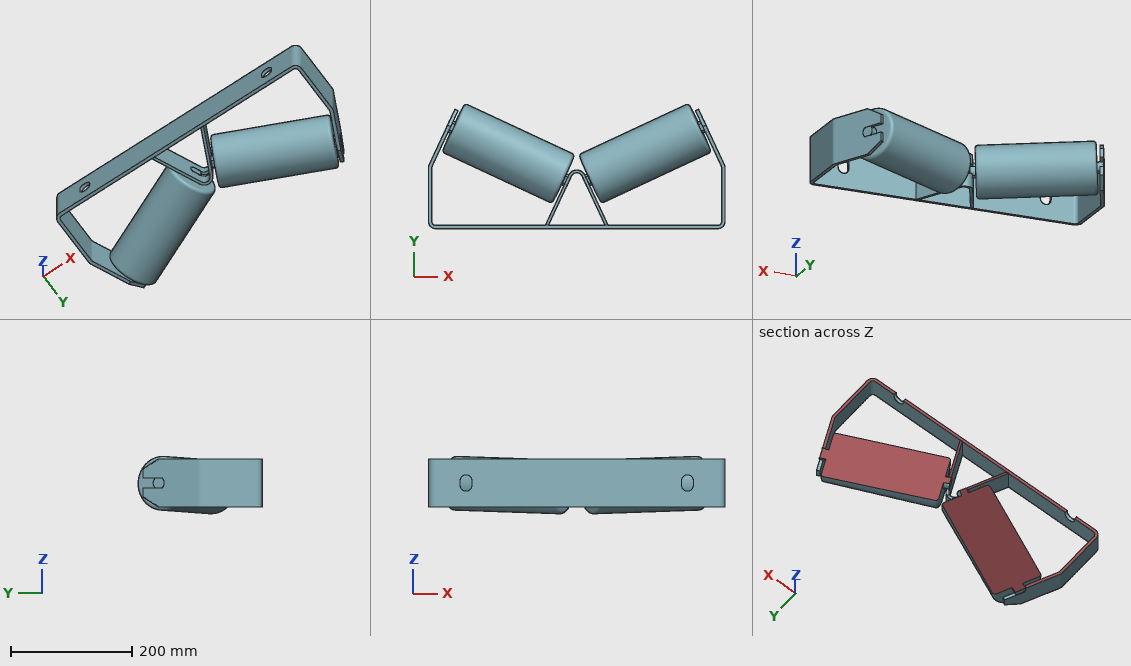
import cadquery as cq
import math


BRACKET_WIDTH = 490.0
STRIP_HEIGHT = 80.0
SHEET = 6.0
CORNER_RADIUS = 12.2
ARM_BEND_Y = 103.5
ARM_BEND_RADIUS = 13.5
ARM_LENGTH = 104.0
TIP_CHAMFER_LENGTH = 29.0
TIP_CHAMFER_HEIGHT = 16.5

MOUNT_SPACING = 365.5
MOUNT_WIDTH = 19.5
MOUNT_HEIGHT = 27.0

V_HALF_BASE = 52.0
V_SHEET = 5.0
V_APEX_RADIUS = 14.5
V_HEIGHT = 59.0

LEAN = 25.0
TILT = 1.8
DRUM_DIAMETER = 89.0
DRUM_LENGTH = 200.5
DRUM_FILLET = 5.5
DRUM_GAP = 5.0
SHAFT_DIAMETER = 20.0
SHAFT_FLATS = 16.0
SHAFT_ON_ARM = 75.0

half_width = BRACKET_WIDTH / 2
lean = math.radians(LEAN)
tilt = math.radians(TILT)
along_arm = cq.Vector(math.sin(lean), math.cos(lean), 0)
inward = cq.Vector(math.cos(lean), -math.sin(lean), 0)
arm_bend = cq.Vector(-half_width, ARM_BEND_Y, 0)
v_foot = cq.Vector(-V_HALF_BASE, SHEET, 0)

shaft_start = arm_bend + along_arm * SHAFT_ON_ARM + cq.Vector(0, 0, STRIP_HEIGHT / 2)
axis_direction = inward * math.cos(tilt) - cq.Vector(0, 0, math.sin(tilt))
v_inner_face = (v_foot - arm_bend).dot(inward) + V_SHEET
shaft_length = v_inner_face / math.cos(tilt)
roller_plane = cq.Plane(origin=shaft_start, xDir=along_arm, normal=axis_direction)


def mirrored(body):
    return body.mirror("YZ")


def xy_points(vectors):
    return [(v.x, v.y) for v in vectors]


def round_bend(body, x, y, outside_radius, sheet, inner_x, inner_y):
    """Round the outer edge at (x, y) and the inner edge at (inner_x, inner_y) about one centre."""
    middle = body.val().BoundingBox().center.z
    body = body.edges(cq.NearestToPointSelector((x, y, middle))).fillet(outside_radius)
    inner_edge = cq.NearestToPointSelector((inner_x, inner_y, middle))
    return body.edges(inner_edge).fillet(outside_radius - sheet)


def shaft_slot(start, end):
    """Slot as wide as the shaft flats, with a shaft-shaped bottom, open towards the arm tip."""
    length = end - start
    base = cq.Workplane(roller_plane).workplane(offset=start)
    bottom = base.circle(SHAFT_DIAMETER / 2).extrude(length)
    open_run = base.center(ARM_LENGTH / 2, 0).rect(ARM_LENGTH, SHAFT_DIAMETER).extrude(length)
    band = base.rect(2 * ARM_LENGTH, SHAFT_FLATS).extrude(length)
    return bottom.union(open_run).intersect(band)


def tip_chamfer(edge_z, slope):
    """Wedge that takes one corner off the arm tip; slope is +1 at the lower edge, -1 at the upper."""
    outline = [
        (ARM_LENGTH - TIP_CHAMFER_LENGTH, edge_z),
        (ARM_LENGTH, edge_z),
        (ARM_LENGTH, edge_z + slope * TIP_CHAMFER_HEIGHT),
    ]
    arm_plane = cq.Plane(origin=arm_bend, xDir=along_arm, normal=inward)
    return cq.Workplane(arm_plane).polyline(outline).close().extrude(SHEET)


def mounting_slot(x):
    return (
        cq.Workplane("XZ", origin=(x, 0, STRIP_HEIGHT / 2))
        .slot2D(MOUNT_HEIGHT, MOUNT_WIDTH, 90)
        .extrude(-SHEET)
    )


def make_bracket():
    inner_x = -half_width + SHEET
    inner_bend_y = ARM_BEND_Y - SHEET * math.tan(lean / 2)
    arm_tip = arm_bend + along_arm * ARM_LENGTH
    outline = [
        (0, 0),
        (-half_width, 0),
        (-half_width, ARM_BEND_Y),
        *xy_points([arm_tip, arm_tip + inward * SHEET]),
        (inner_x, inner_bend_y),
        (inner_x, SHEET),
        (0, SHEET),
    ]
    half = cq.Workplane("XY").polyline(outline).close().extrude(STRIP_HEIGHT)
    half = round_bend(half, -half_width, 0, CORNER_RADIUS, SHEET, inner_x, SHEET)
    half = round_bend(half, -half_width, ARM_BEND_Y, ARM_BEND_RADIUS, SHEET, inner_x, inner_bend_y)
    half = half.cut(tip_chamfer(0, 1)).cut(tip_chamfer(STRIP_HEIGHT, -1))
    half = half.cut(shaft_slot(-SHEET, 2 * SHEET))
    half = half.cut(mounting_slot(-MOUNT_SPACING / 2))
    return half.union(mirrored(half))


def make_v_support():
    rise = V_HALF_BASE / math.tan(lean)
    inner_half_base = V_HALF_BASE - V_SHEET / math.cos(lean)
    inner_rise = inner_half_base / math.tan(lean)
    outline = [
        (-V_HALF_BASE, SHEET),
        (0, SHEET + rise),
        (V_HALF_BASE, SHEET),
        (inner_half_base, SHEET),
        (0, SHEET + inner_rise),
        (-inner_half_base, SHEET),
    ]
    support = cq.Workplane("XY").polyline(outline).close().extrude(V_HEIGHT)
    support = round_bend(support, 0, SHEET + rise, V_APEX_RADIUS, V_SHEET, 0, SHEET + inner_rise)
    slot = shaft_slot(shaft_length - 2 * V_SHEET, shaft_length + 2 * V_SHEET)
    return support.cut(slot).cut(mirrored(slot))


def make_roller():
    """Drum and its flatted shaft; the shaft ends lie in the arm slot and in the V slot."""
    drum_start = SHEET + DRUM_GAP
    shaft = cq.Workplane(roller_plane).circle(SHAFT_DIAMETER / 2).extrude(shaft_length)
    flats = cq.Workplane(roller_plane).rect(SHAFT_DIAMETER, SHAFT_FLATS).extrude(shaft_length)
    drum = (
        cq.Workplane(roller_plane)
        .workplane(offset=drum_start)
        .circle(DRUM_DIAMETER / 2)
        .extrude(DRUM_LENGTH)
        .edges()
        .fillet(DRUM_FILLET)
    )
    return drum.union(shaft.intersect(flats))


bracket = make_bracket()
v_support = make_v_support()
left_roller = make_roller()
rollers = [left_roller, mirrored(left_roller)]

bodies = [bracket, v_support, *rollers]
result = cq.Compound.makeCompound([body.solids().val() for body in bodies])